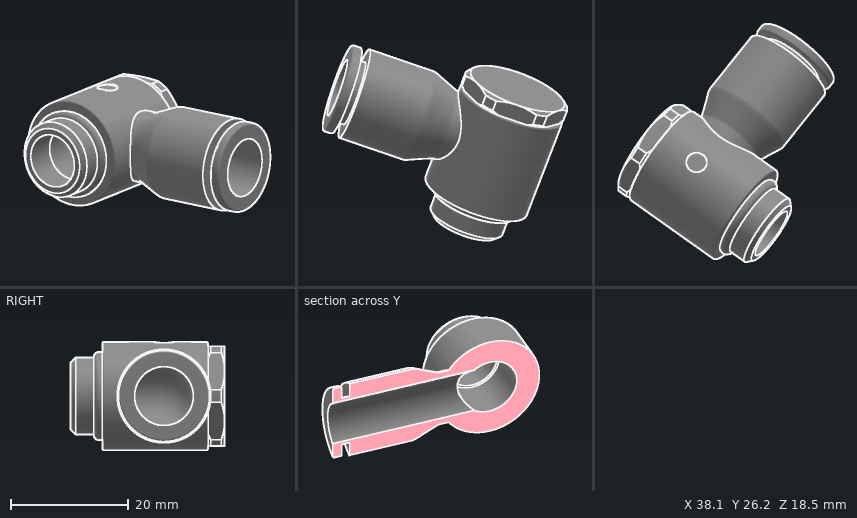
import cadquery as cq
import math


body_radius = 9.25
body_rear_y = 7.5
body_front_y = -10.48
body_rear_fillet = 0.35
body_front_fillet = 0.3

hex_sides = 6
hex_across_flats = 17.0
hex_rear_y = 10.32
hex_corner_radius = body_radius
hex_rear_bevel = 0.75
hex_front_bevel = 0.4
hex_rear_bevel_length = 0.55
hex_front_bevel_length = 0.45

spigot_radius = 6.58
spigot_front_y = -15.93
spigot_chamfer = 0.9
ring_y = -11.03
ring_section_radius = 0.96

neck_radius = 6.12
neck_fillet_start_x = 9.2
cone_start_x = 9.8
cone_start_radius = 6.28
cone_end_x = 13.6
cone_end_radius = 7.83
socket_radius = 7.98
socket_start_x = 14.15
socket_end_x = 25.8
collet_radius = 5.6
flange_start_x = 27.1
flange_end_x = 28.87
flange_radius = 7.75
flange_fillet = 0.4

spigot_bore_radius = 4.57
elbow_radius = 5.0

recess_radius = 1.75
recess_depth = 0.2


def cylinder_y(radius, start_y, end_y):
    """Cylinder around the banjo axis, from start_y to a higher end_y."""
    return cq.Workplane("XZ", origin=(0, start_y, 0)).circle(radius).extrude(start_y - end_y)


def make_body():
    body = cylinder_y(body_radius, body_front_y, body_rear_y)
    body = body.faces(">Y").edges().fillet(body_rear_fillet)
    return body.faces("<Y").edges().fillet(body_front_fillet)


def make_hex_head():
    """Hexagon with two flats facing up and down, trimmed by a bevelled round blank."""
    hexagon = (
        cq.Workplane("XZ", origin=(0, body_rear_y, 0))
        .polygon(hex_sides, hex_across_flats / math.cos(math.pi / hex_sides))
        .extrude(body_rear_y - hex_rear_y)
    )
    blank = (
        cq.Workplane("XY")
        .moveTo(0, body_rear_y)
        .lineTo(hex_corner_radius - hex_front_bevel, body_rear_y)
        .lineTo(hex_corner_radius, body_rear_y + hex_front_bevel_length)
        .lineTo(hex_corner_radius, hex_rear_y - hex_rear_bevel_length)
        .lineTo(hex_corner_radius - hex_rear_bevel, hex_rear_y)
        .lineTo(0, hex_rear_y)
        .close()
        .revolve(360, (0, 0, 0), (0, 1, 0))
    )
    return hexagon.intersect(blank)


def make_spigot():
    spigot = cylinder_y(spigot_radius, spigot_front_y, 0)
    return spigot.faces("<Y").edges().chamfer(spigot_chamfer)


def make_sealing_ring():
    """Round-section ring whose outer crest stands proud of the spigot."""
    return (
        cq.Workplane("XY")
        .center(spigot_radius, ring_y)
        .circle(ring_section_radius)
        .revolve(360, (-spigot_radius, 0, 0), (-spigot_radius, 1, 0))
    )


def make_tube_branch():
    """Revolved neck, blended cone, socket and collet around the X axis."""
    cone_slope = (cone_end_x - cone_start_x, cone_end_radius - cone_start_radius)
    branch = (
        cq.Workplane("XY")
        .lineTo(0, neck_radius)
        .lineTo(neck_fillet_start_x, neck_radius)
        .spline([(cone_start_x, cone_start_radius)], tangents=[(1, 0), cone_slope], includeCurrent=True)
        .lineTo(cone_end_x, cone_end_radius)
        .spline([(socket_start_x, socket_radius)], tangents=[cone_slope, (1, 0)], includeCurrent=True)
        .lineTo(socket_end_x, socket_radius)
        .lineTo(socket_end_x, collet_radius)
        .lineTo(flange_start_x, collet_radius)
        .lineTo(flange_start_x, flange_radius)
        .lineTo(flange_end_x, flange_radius)
        .lineTo(flange_end_x, 0)
        .close()
        .revolve(360, (0, 0, 0), (1, 0, 0))
    )
    flange_rim = cq.selectors.BoxSelector(
        (flange_start_x - flange_fillet, -socket_radius, -socket_radius),
        (flange_end_x + flange_fillet, socket_radius, socket_radius),
        boundingbox=True,
    )
    return branch.edges(flange_rim).edges(cq.selectors.RadiusNthSelector(-1)).fillet(flange_fillet)


def make_passage():
    """Elbow of two bores joined by a ball where the axes cross, reached through the spigot bore."""
    spigot_bore = cylinder_y(spigot_bore_radius, spigot_front_y, body_front_y)
    body_bore = cylinder_y(elbow_radius, body_front_y, 0)
    tube_bore = cq.Workplane("YZ").circle(elbow_radius).extrude(flange_end_x)
    ball = cq.Workplane("XY").sphere(elbow_radius)
    return spigot_bore.union(body_bore).union(tube_bore).union(ball)


def make_recess():
    return (
        cq.Workplane("XY", origin=(0, 0, body_radius - recess_depth))
        .circle(recess_radius)
        .extrude(2 * recess_depth)
    )


solid_fitting = (
    make_body()
    .union(make_hex_head())
    .union(make_spigot())
    .union(make_sealing_ring())
    .union(make_tube_branch())
)
result = solid_fitting.cut(make_passage()).cut(make_recess())